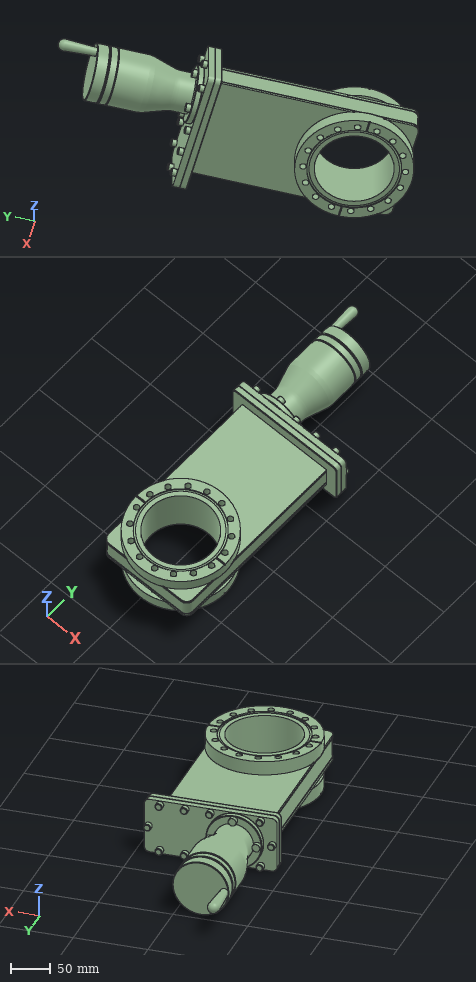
import cadquery as cq
import math


flange_radius = 75.5
flange_face = 37.0
bore_radius = 50.5
recess_radius = 60.5
recess_depth = 1.0
knife_edge_radius = 57.5
knife_edge_height = 1.0
bolt_count = 16
bolt_circle_radius = 65.0
bolt_hole_radius = 4.1
leak_groove_width = 1.5
leak_groove_depth = 1.5

body_width = 144.0
body_half_height = 18.1
core_half_height = 13.75
core_inset = 0.7
body_front = -67.5
body_corner_radius = 10.5

bonnet_width = 178.0
bonnet_height = 75.5
bonnet_start = 197.5
bonnet_end = 215.5
bonnet_corner_radius = 7.0
bonnet_edge_chamfer = 1.0
seam_width = 0.5
seam_depth = 0.5
bonnet_middle = (bonnet_start + bonnet_end) / 2

head_radius = 5.0
head_height = 7.0
head_chamfer = 1.0
bonnet_row_x = (-67.5, 0.0, 34.0, 67.5)
bonnet_row_z = 32.5
bonnet_side_x = 83.0

actuator_x = -34.0
actuator_radius = 37.5
actuator_end = 356.5
neck_radius = 26.5
base_thickness = 8.5
base_screw_circle = 32.0
base_head_radius = 5.5
base_head_height = 6.5
rim_chamfer = 1.0
cone_start = 247.0
cone_end = 283.0
cone_blend_radius = 24.0
crank_gap_start = 338.0
crank_gap_width = 3.0
crank_gap_lip = 1.0
crank_hub_radius = 12.0
ring_groove_start = 327.5
ring_groove_width = 1.5
ring_groove_depth = 1.0
base_end = bonnet_end + base_thickness

handle_offset = 32.0
handle_root_radius = 6.0
handle_tip_radius = 7.95
handle_end = 406.5


def disc_z(radius, bottom, top):
    """Cylinder on the bore axis between two heights."""
    return cq.Workplane("XY").workplane(offset=bottom).circle(radius).extrude(top - bottom)


def disc_y(radius, start, length, x, z=0.0):
    """Cylinder along +Y, standing at (x, z)."""
    return cq.Workplane("XZ").workplane(offset=-start).center(x, z).circle(radius).extrude(-length)


def block(width, start, end, half_height):
    """Box centred on X and Z that spans start to end along Y."""
    return cq.Workplane("XY").box(width, end - start, 2 * half_height).translate((0, (start + end) / 2, 0))


def rounded_slab(inset, half_height):
    """Body slab with rounded corners at its free end."""
    slab = block(body_width - 2 * inset, body_front + inset, bonnet_start, half_height)
    return slab.edges("|Z and <Y").fillet(body_corner_radius - inset)


def make_body():
    sheets = rounded_slab(0.0, body_half_height).cut(
        block(2 * body_width, 2 * body_front, bonnet_start, core_half_height)
    )
    return rounded_slab(core_inset, body_half_height).union(sheets)


def make_knife_groove():
    """Ring whose floor slopes down from the knife edge to the recess wall."""
    floor = flange_face - recess_depth
    return (
        cq.Workplane("XZ")
        .moveTo(knife_edge_radius, floor)
        .lineTo(recess_radius, floor - knife_edge_height)
        .lineTo(recess_radius, floor)
        .close()
        .revolve(360, (0, 0, 0), (0, 1, 0))
    )


def make_flange():
    """Upper port flange with gasket recess, bolt holes and leak-check grooves."""
    flange = disc_z(flange_radius, body_half_height, flange_face)
    flange = flange.cut(disc_z(recess_radius, flange_face - recess_depth, flange_face))
    flange = flange.cut(make_knife_groove())
    holes = (
        cq.Workplane("XY")
        .workplane(offset=body_half_height)
        .polarArray(bolt_circle_radius, 180 / bolt_count, 360, bolt_count)
        .circle(bolt_hole_radius)
        .extrude(flange_face - body_half_height)
    )
    leak_grooves = (
        cq.Workplane("XY")
        .workplane(offset=flange_face - leak_groove_depth)
        .rect(2 * flange_radius, leak_groove_width)
        .extrude(leak_groove_depth)
        .cut(disc_z(recess_radius, body_half_height, flange_face))
    )
    return flange.cut(holes).cut(leak_grooves)


def make_bonnet():
    half_height = bonnet_height / 2
    plate = block(bonnet_width, bonnet_start, bonnet_end, half_height)
    plate = plate.edges("|Y").fillet(bonnet_corner_radius)
    plate = plate.faces("<Y").chamfer(bonnet_edge_chamfer)
    seam_start = bonnet_middle - seam_width / 2
    seam_end = bonnet_middle + seam_width / 2
    seam_core = block(bonnet_width - 2 * seam_depth, seam_start, seam_end, half_height - seam_depth)
    seam_core = seam_core.edges("|Y").fillet(bonnet_corner_radius - seam_depth)
    seam = block(2 * bonnet_width, seam_start, seam_end, bonnet_height).cut(seam_core)
    return plate.cut(seam)


def bonnet_heads():
    """Screw heads along both long edges and at the middle of both short edges."""
    places = [(x, side * bonnet_row_z) for x in bonnet_row_x for side in (-1, 1)]
    places += [(side * bonnet_side_x, 0.0) for side in (-1, 1)]
    heads = cq.Workplane("XY")
    for x, z in places:
        heads = heads.add(disc_y(head_radius, bonnet_end, head_height, x, z).faces(">Y").chamfer(head_chamfer))
    return heads.combine()


def make_base():
    """Actuator foot with four screw heads around the neck."""
    foot = disc_y(actuator_radius, bonnet_end, base_thickness, actuator_x).edges().chamfer(rim_chamfer)
    for quarter in range(4):
        angle = math.radians(90 * quarter)
        x = actuator_x + base_screw_circle * math.cos(angle)
        z = base_screw_circle * math.sin(angle)
        foot = foot.union(disc_y(base_head_radius, base_end, base_head_height, x, z))
    return foot


def turn_about_y(profile, x):
    """Revolve a half profile about Y and move its axis to x."""
    return profile.revolve(360, (0, 0, 0), (0, 1, 0)).translate((x, 0, 0))


def ring_groove():
    """Shallow square groove around the barrel."""
    ring = disc_y(2 * actuator_radius, ring_groove_start, ring_groove_width, actuator_x)
    floor_radius = actuator_radius - ring_groove_depth
    return ring.cut(disc_y(floor_radius, ring_groove_start, ring_groove_width, actuator_x))


def crank_gap():
    """Gap down to the hub, with chamfered lips on both sides."""
    crank_gap_end = crank_gap_start + crank_gap_width
    profile = cq.Workplane("XY").polyline(
        [
            (crank_hub_radius, crank_gap_start + crank_gap_lip),
            (actuator_radius - crank_gap_lip, crank_gap_start + crank_gap_lip),
            (actuator_radius, crank_gap_start),
            (actuator_radius, crank_gap_end),
            (actuator_radius - crank_gap_lip, crank_gap_end - crank_gap_lip),
            (crank_hub_radius, crank_gap_end - crank_gap_lip),
        ]
    )
    return turn_about_y(profile.close(), actuator_x)


def make_barrel():
    """Neck, cone and barrel turned about the actuator axis."""
    rise = actuator_radius - neck_radius
    cone_angle = math.atan2(rise, cone_end - cone_start)
    tangent = cone_blend_radius * math.tan(cone_angle / 2)
    along = tangent * math.cos(cone_angle)
    out = tangent * math.sin(cone_angle)
    profile = (
        cq.Workplane("XY")
        .moveTo(0, bonnet_end)
        .lineTo(neck_radius, bonnet_end)
        .lineTo(neck_radius, cone_start - tangent)
        .tangentArcPoint((neck_radius + out, cone_start + along), relative=False)
        .lineTo(actuator_radius - out, cone_end - along)
        .tangentArcPoint((actuator_radius, cone_end + tangent), relative=False)
        .lineTo(actuator_radius, actuator_end - rim_chamfer)
        .lineTo(actuator_radius - rim_chamfer, actuator_end)
        .lineTo(0, actuator_end)
        .close()
    )
    return turn_about_y(profile, actuator_x).cut(ring_groove()).cut(crank_gap())


def make_handle():
    """Tapered grip with a hemispherical tip."""
    dome_start = handle_end - handle_tip_radius
    dome_middle = handle_tip_radius * math.sqrt(0.5)
    profile = (
        cq.Workplane("XY")
        .moveTo(0, actuator_end)
        .lineTo(handle_root_radius, actuator_end)
        .lineTo(handle_tip_radius, dome_start)
        .threePointArc((dome_middle, dome_start + dome_middle), (0, handle_end))
        .close()
    )
    return turn_about_y(profile, actuator_x - handle_offset)


upper_flange = make_flange()
valve = make_body().union(upper_flange).union(upper_flange.mirror("XY"))
valve = valve.cut(disc_z(bore_radius, -flange_face, flange_face))
valve = valve.union(make_bonnet()).union(bonnet_heads())
result = valve.union(make_base()).union(make_barrel()).union(make_handle())